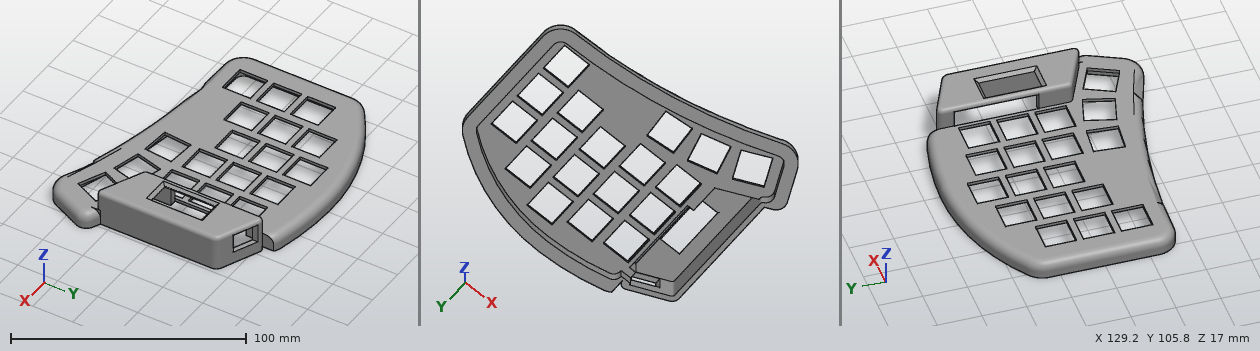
import cadquery as cq
import math


plate_height = 7.5
plate_thickness = 1.5
plate_depth = 105.7
rim_wall = 6.0
rim_fillet = 4.0
plate_corner_radius = 10.0
plate_left = 0
left_back_y = 82.6
left_front_y = 18.9
crown_x = 63.7
crown_left_middle = (25.8, 98.5)
crown_right_middle = (83.3, 104.0)
back_right = (103.3, 99.4)
palm_middle = (59.4, 14.6)

thumb_turn = math.radians(25)
thumb_corner = (130.8, 24.3)
thumb_width = 30.0
thumb_corner_radius = 5.0
thumb_back_wall = 2.1

key_size = 14.0
column_pitch = 18.01
row_pitch = 16.98
row_count = 3
first_column_x = 18.3
front_row_y = [35.05, 47.0, 53.77, 48.7, 46.1]
thumb_keys = [(71.4, 29.7, -5), (90.6, 26.3, -15), (109.1, 19.6, -25)]

housing_height = 17.0
housing_left = 99.2
housing_right = 122.8
left_side_front_y = 35.8
left_side_back_y = 96.7
right_side_front_y = 24.8
right_side_back_y = 86.1
housing_wall = 2.5
housing_left_wall = 3.5
roof_thickness = 1.5
housing_fillet = 2.0
housing_corner_radius = 2.5
front_right_radius = 2.1
back_right_radius = 4.0
pedestal_margin = 2.8

display_center = (108.6, 60.4)
display_width = 10.5
display_length = 24.9
window_front_y = 50.6
window_back_y = 88.3
port_center_x = 109.2
port_width = 11.4
port_floor = 6.0

passage_left = 90.4
passage_back_y = 91.7
passage_corner_radius = 1.74
thumb_pocket_radius = plate_corner_radius - rim_wall


def thumb_point(inward, frontward):
    """Point set in from the thumb corner, measured along and across the turned thumb end."""
    x, y = thumb_corner
    cosine = math.cos(thumb_turn)
    sine = math.sin(thumb_turn)
    return (x - inward * cosine - frontward * sine, y + inward * sine - frontward * cosine)


def prism(points, height):
    return cq.Workplane("XY").polyline(points).close().extrude(height)


def block(x_range, y_range, z_range):
    lows, highs = zip(x_range, y_range, z_range)
    size = [high - low for low, high in zip(lows, highs)]
    return cq.Workplane("XY").box(*size, centered=False).translate(lows)


def round_upright(body, corner, radius):
    """Round the upright edge that stands on the given corner."""
    x, y = corner
    reach = 0.1
    around_corner = cq.selectors.BoxSelector(
        (x - reach, y - reach, -housing_height), (x + reach, y + reach, housing_height)
    )
    return body.edges("|Z").edges(around_corner).fillet(radius)


def inset_prism(body, inset, height):
    """Prism over the bottom outline of a body, set in by a wall."""
    outline = body.faces("<Z").wires().val()
    return cq.Workplane("XY").add(outline.offset2D(-inset)[0]).toPending().extrude(height)


def make_plate_block():
    left_back = (plate_left, left_back_y)
    left_front = (plate_left, left_front_y)
    thumb_heel = thumb_point(0, thumb_width)
    notch_inward = (thumb_corner[0] - back_right[0]) / math.cos(thumb_turn)
    body = (
        cq.Workplane("XY")
        .moveTo(*left_front)
        .lineTo(*left_back)
        .threePointArc(crown_left_middle, (crown_x, plate_depth))
        .threePointArc(crown_right_middle, back_right)
        .lineTo(*thumb_point(notch_inward, 0))
        .lineTo(*thumb_corner)
        .lineTo(*thumb_heel)
        .threePointArc(palm_middle, left_front)
        .close()
        .extrude(plate_height)
    )
    for corner in (left_back, left_front, back_right, thumb_heel):
        body = round_upright(body, corner, plate_corner_radius)
    return round_upright(body, thumb_corner, thumb_corner_radius)


def make_housing_block():
    corner_radii = {
        (housing_left, left_side_front_y): housing_corner_radius,
        (housing_left, left_side_back_y): housing_corner_radius,
        (housing_right, right_side_back_y): back_right_radius,
        (housing_right, right_side_front_y): front_right_radius,
    }
    body = prism(list(corner_radii), housing_height)
    for corner, radius in corner_radii.items():
        body = round_upright(body, corner, radius)
    return body


def make_pedestal():
    """Flat ground at plate height under the front of the housing, flush with its sides."""
    points = [
        (housing_left, left_side_front_y - pedestal_margin),
        (housing_left, window_front_y),
        (housing_right, window_front_y),
        (housing_right, right_side_front_y - pedestal_margin),
    ]
    return prism(points, plate_height)


def make_passage():
    inner_right = housing_right - housing_wall
    tip_distance = (thumb_corner[0] - inner_right - thumb_back_wall * math.sin(thumb_turn))
    housing_corner = thumb_point(tip_distance / math.cos(thumb_turn), thumb_back_wall)
    pocket_corner = thumb_point(rim_wall, thumb_back_wall)
    points = [
        (passage_left, passage_back_y),
        (housing_left + housing_left_wall, passage_back_y),
        (inner_right, right_side_back_y - back_right_radius),
        housing_corner,
        pocket_corner,
        thumb_point(rim_wall, thumb_width / 2),
        (passage_left, left_side_front_y),
    ]
    body = prism(points, plate_height - plate_thickness)
    body = round_upright(body, housing_corner, passage_corner_radius)
    return round_upright(body, pocket_corner, thumb_pocket_radius)


def make_housing_cavity(housing_block):
    body = inset_prism(housing_block, housing_wall, housing_height - roof_thickness)
    inside = block(
        (housing_left + housing_left_wall, housing_right),
        (0, plate_depth),
        (0, housing_height),
    )
    return body.intersect(inside)


def make_key_openings():
    places = [
        (first_column_x + column * column_pitch, front_y + row * row_pitch, 0)
        for column, front_y in enumerate(front_row_y)
        for row in range(row_count)
    ]
    openings = cq.Workplane("XY")
    for x, y, turn in places + thumb_keys:
        key = cq.Workplane("XY").rect(key_size, key_size).extrude(plate_height)
        openings.add(key.rotate((0, 0, 0), (0, 0, 1), turn).translate((x, y, 0)))
    return openings.combine()


def make_display_opening():
    """Rectangular opening whose sides flare outward at 45 degrees through the roof."""
    flare = 2 * roof_thickness
    return (
        cq.Workplane("XY", origin=(*display_center, housing_height - roof_thickness))
        .rect(display_width, display_length)
        .workplane(offset=roof_thickness)
        .rect(display_width + flare, display_length + flare)
        .loft()
    )


def make_side_window():
    return block(
        (housing_left, housing_left + housing_left_wall),
        (window_front_y, window_back_y),
        (0, housing_height - housing_fillet),
    )


def make_port():
    return block(
        (port_center_x - port_width / 2, port_center_x + port_width / 2),
        (right_side_back_y - housing_wall, left_side_back_y),
        (port_floor, housing_height - housing_fillet),
    )


plate_block = make_plate_block()
housing_block = make_housing_block()
housing_room = block((housing_left, back_right[0]), (window_front_y, plate_depth), (0, plate_height))
plate = plate_block.faces(">Z").edges().fillet(rim_fillet).cut(housing_room)
housing = housing_block.faces(">Z").edges().fillet(housing_fillet)
body = plate.union(make_pedestal().intersect(plate_block)).union(housing)

body = body.cut(inset_prism(plate_block, rim_wall, plate_height - plate_thickness))
body = body.cut(make_housing_cavity(housing_block)).cut(make_passage())

body = body.cut(make_key_openings()).cut(make_display_opening())
result = body.cut(make_side_window()).cut(make_port())